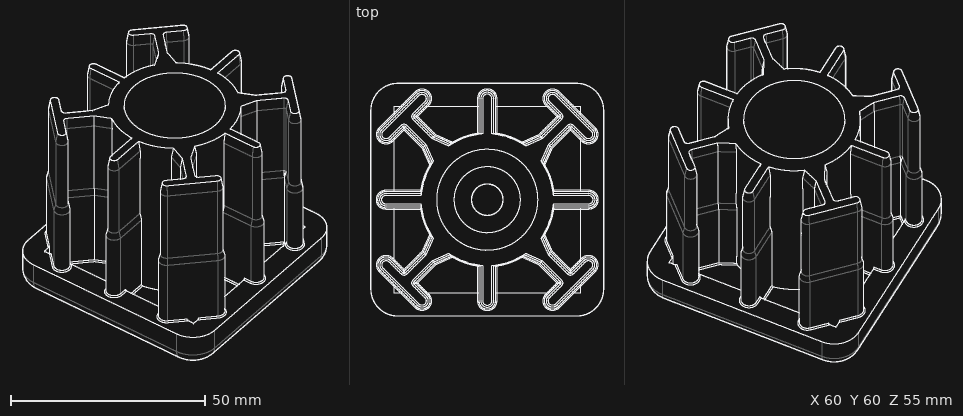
import cadquery as cq

side = 60.0
base_height = 9.95
corner_radius = 7.0
bottom_radius = 4.0
pocket_side = 48.0
pocket_depth = 3.0

total_height = 55.0
hub_foot_radius = 17.3
hub_top_radius = 17.05
bore_radius = 13.0
seat_radius = 8.5
seat_z = 5.0
hole_radius = 4.0

step = 0.5
rib_half = 2.1
rib_reach = 28.2
waist_bottom = 29.05
waist_top = 31.0
tip_bottom = 52.0
foot_size = 0.35

plate_radius = 30.3
plate_half_span = 6.55
flare_start = 21.2
flare_slope = 0.38

pocket_floor = base_height - pocket_depth
rib_centre_reach = rib_reach - rib_half
upper_half = rib_half - step
tip_half = upper_half - step
cross = (0, 90)
diagonals = (45, 135, 225, 315)


def spin(part, angles):
    """Copies of a part turned to each angle about the Z axis."""
    copies = cq.Workplane()
    for angle in angles:
        copies = copies.add(part.rotate((0, 0, 0), (0, 0, 1), angle))
    return copies.combine()


def slot(z, half, length):
    """Round-ended outline along X, centred on the Z axis; length is between the end centres."""
    return cq.Workplane("XY").workplane(offset=z).slot2D(length + 2 * half, 2 * half)


def web(z, half):
    """Web outline along +X that flares where it runs into the hub."""
    foot_half = half + flare_slope * flare_start
    return cq.Workplane("XY").workplane(offset=z).polyline([
        (0, -foot_half),
        (flare_start, -half),
        (plate_radius, -half),
        (plate_radius, half),
        (flare_start, half),
        (0, foot_half),
    ]).close()


def loft(lower, upper):
    """Straight-sided solid between two outlines."""
    return cq.Workplane(cq.Solid.makeLoft([lower.ctx.pendingWires[0], upper.ctx.pendingWires[0]], True))


def straight_rib(z0, z1, half0, half1):
    """Section of the two ribs lying along X, running right across the hub."""
    length = 2 * rib_centre_reach
    return loft(slot(z0, half0, length), slot(z1, half1, length))


def corner_rib(z0, z1, half0, half1):
    """Section of one T-shaped rib, standing along +X."""
    span = 2 * plate_half_span
    plate = loft(slot(z0, half0, span), slot(z1, half1, span))
    plate = plate.rotate((0, 0, 0), (0, 0, 1), 90).translate((plate_radius, 0, 0))
    return plate.union(loft(web(z0, half0), web(z1, half1)))


def all_ribs(z0, z1, half0, half1):
    """Section of all eight ribs between two heights."""
    straight = spin(straight_rib(z0, z1, half0, half1), cross)
    corner = spin(corner_rib(z0, z1, half0, half1), diagonals)
    return straight.union(corner)


def foot(z):
    """Sloping skirt round the foot of the ribs."""
    return all_ribs(z, z + foot_size, rib_half + foot_size, rib_half)


def corner_fillets():
    """Fills for the inner corners of the corner ribs, rounded to a radius that grows with each taper."""
    height = total_height - waist_bottom
    size = rib_half - tip_half
    void = (
        cq.Workplane("XZ")
        .polyline([
            (0, waist_bottom),
            (step, waist_top),
            (step, tip_bottom),
            (size, total_height),
            (0, total_height),
        ])
        .close()
        .revolve(360, (0, 0, 0), (0, 1, 0))
    )
    block = cq.Workplane("XY").box(size, size, height, centered=False).translate((0, -size, waist_bottom))
    left = block.cut(void).translate((plate_radius - rib_half, rib_half, 0))
    pair = left.add(left.mirror("XZ")).combine()
    return spin(pair, diagonals)


pocket = (
    cq.Workplane("XY")
    .workplane(offset=pocket_floor)
    .rect(pocket_side, pocket_side)
    .extrude(total_height)
)
base = (
    cq.Workplane("XY")
    .rect(side, side)
    .extrude(base_height)
    .edges("|Z")
    .fillet(corner_radius)
    .faces("<Z")
    .edges()
    .fillet(bottom_radius)
    .cut(pocket)
)

hub = cq.Workplane(
    cq.Solid.makeCone(
        hub_foot_radius, hub_top_radius, total_height - pocket_floor, cq.Vector(0, 0, pocket_floor)
    )
)

result = (
    base.union(hub)
    .union(foot(base_height).cut(pocket))
    .union(foot(pocket_floor).intersect(pocket))
    .union(all_ribs(pocket_floor, waist_bottom, rib_half, rib_half))
    .union(all_ribs(waist_bottom, waist_top, rib_half, upper_half))
    .union(all_ribs(waist_top, tip_bottom, upper_half, upper_half))
    .union(all_ribs(tip_bottom, total_height, upper_half, tip_half))
    .union(corner_fillets())
    .clean()
)

for radius, floor in ((bore_radius, base_height), (seat_radius, seat_z), (hole_radius, 0)):
    result = result.cut(cq.Workplane("XY").workplane(offset=floor).circle(radius).extrude(total_height))